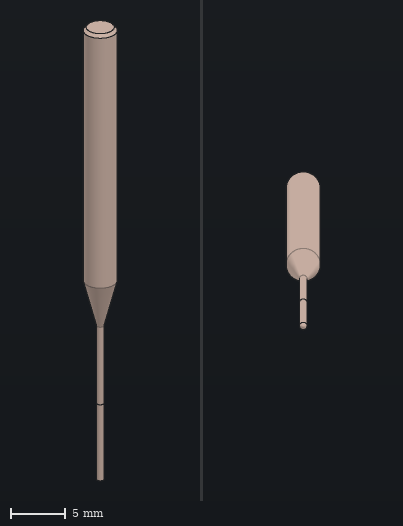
import cadquery as cq

total_length = 47.15
shank_diameter = 3.15
neck_diameter = 0.7

cutter_length = 8.05
neck_top = 16.1
cone_top = 20.85

chamfer_width = 0.3
chamfer_height = 0.35

point_height = 0.15

shank_radius = shank_diameter / 2
neck_radius = neck_diameter / 2


def make_holder():
    """Shank, cone and neck, turned as one body about the Z axis."""
    return (
        cq.Workplane("XZ")
        .moveTo(0, cutter_length)
        .lineTo(neck_radius, cutter_length)
        .lineTo(neck_radius, neck_top)
        .lineTo(shank_radius, cone_top)
        .lineTo(shank_radius, total_length - chamfer_height)
        .lineTo(shank_radius - chamfer_width, total_length)
        .lineTo(0, total_length)
        .close()
        .revolve(360, (0, 0, 0), (0, 1, 0))
    )


def make_cutter():
    """Cylindrical cutter with a conical point, butted against the end of the neck."""
    return (
        cq.Workplane("XZ")
        .lineTo(neck_radius, point_height)
        .lineTo(neck_radius, cutter_length)
        .lineTo(0, cutter_length)
        .close()
        .revolve(360, (0, 0, 0), (0, 1, 0))
    )


holder = make_holder()
cutter = make_cutter()

result = cq.Compound.makeCompound([holder.val(), cutter.val()])